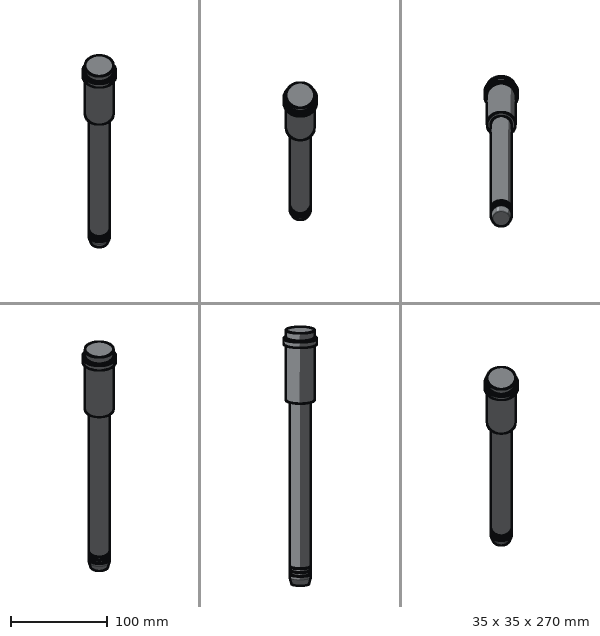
import cadquery as cq
import math

total_length = 270
collar_diameter = 35
sleeve_diameter = 30.0
shaft_diameter = 22.1
edge_chamfer = 0.5

collar_radius = collar_diameter / 2
sleeve_radius = sleeve_diameter / 2
shaft_radius = shaft_diameter / 2

sleeve_bottom = 195.0
collar_bottom = 254.5
collar_thickness = 6.5
collar_top = collar_bottom + collar_thickness

taper_length = 7.0
taper_angle = math.radians(15)
tip_radius = shaft_radius - taper_length * math.tan(taper_angle)
tip_fillet = 0.5

groove_count = 3
groove_spacing = 4.0
first_groove_height = 10.8
groove_radius = 0.5
narrow_groove_radius = 0.3


def make_shaft():
    """Long shaft with a conical, slightly rounded tip."""
    outline = [
        (0, 0),
        (tip_radius, 0),
        (shaft_radius, taper_length),
        (shaft_radius, sleeve_bottom),
        (0, sleeve_bottom),
    ]
    shaft = cq.Workplane("XZ").polyline(outline).close().revolve(360, (0, 0, 0), (0, 1, 0))
    return shaft.faces("<Z").edges().fillet(tip_fillet)


def make_chamfered_disc(radius, bottom, top):
    """Cylinder on the Z axis between two heights, with both rims chamfered."""
    disc = cq.Workplane("XY").workplane(offset=bottom).circle(radius).extrude(top - bottom)
    return disc.edges("%CIRCLE").chamfer(edge_chamfer)


def make_groove(body_radius, height, section_radius):
    """Ring that cuts a half-round groove into a cylinder, centred at a height."""
    section = cq.Workplane("XZ").center(body_radius, height).circle(section_radius)
    return section.revolve(360, (-body_radius, 0, 0), (-body_radius, 1, 0))


sleeve = make_chamfered_disc(sleeve_radius, sleeve_bottom, total_length)
collar = make_chamfered_disc(collar_radius, collar_bottom, collar_top)
result = make_shaft().union(sleeve).union(collar)

result = result.cut(make_groove(sleeve_radius, collar_top + groove_radius, groove_radius))
result = result.cut(make_groove(sleeve_radius, collar_bottom - narrow_groove_radius, narrow_groove_radius))
result = result.cut(make_groove(shaft_radius, sleeve_bottom - groove_radius, groove_radius))

for index in range(groove_count):
    groove_height = first_groove_height + index * groove_spacing
    result = result.cut(make_groove(shaft_radius, groove_height, groove_radius))